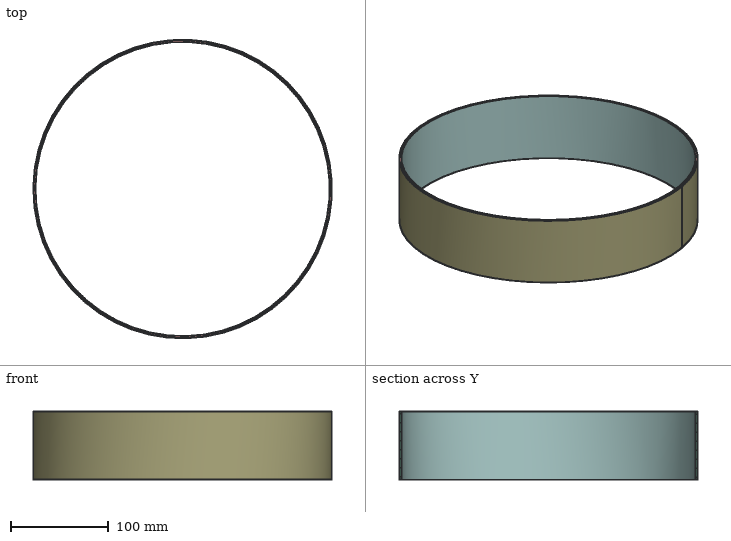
import cadquery as cq
import math

outer_diameter = 305.0
wall_thickness = 2.5
height = 70.0
outer_chamfer = 0.5
inner_chamfer = 0.2
gap_width = 1.5
gap_center_y = 1.5

outer_radius = outer_diameter / 2
inner_radius = outer_radius - wall_thickness

gap_angle = math.degrees(gap_width / outer_radius)
sweep_angle = 360.0 - gap_angle
first_end_angle = math.degrees((gap_center_y - gap_width / 2) / outer_radius)


def wall_section():
    """Rectangular wall section on the -X side with all four corners chamfered."""
    outer_x = -outer_radius
    inner_x = -inner_radius
    return (
        cq.Workplane("XZ")
        .moveTo(outer_x + outer_chamfer, 0)
        .lineTo(inner_x - inner_chamfer, 0)
        .lineTo(inner_x, inner_chamfer)
        .lineTo(inner_x, height - inner_chamfer)
        .lineTo(inner_x - inner_chamfer, height)
        .lineTo(outer_x + outer_chamfer, height)
        .lineTo(outer_x, height - outer_chamfer)
        .lineTo(outer_x, outer_chamfer)
        .close()
    )


def split_ring():
    """Sweep the section around Z, stopping short to leave the gap, then turn the gap into place."""
    ring = wall_section().revolve(sweep_angle, (0, 0, 0), (0, 1, 0))
    return ring.rotate((0, 0, 0), (0, 0, 1), -first_end_angle)


result = split_ring()